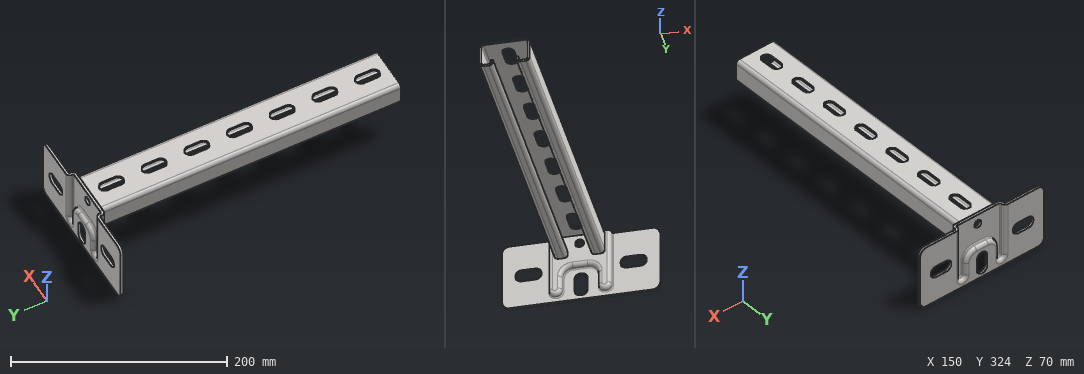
import cadquery as cq
import math

overall_length = 324.0

plate_width = 150.0
plate_height = 70.0
plate_corner_radius = 7.0
plate_thickness = 3.0
plate_bend_inner = 1.0
plate_bend_outer = plate_bend_inner + plate_thickness

seat_rise = 2 * plate_thickness
seat_front_y = -(plate_thickness + seat_rise)
seat_half_width = 29.8
leg_width = 12.5
leg_end_radius = leg_width / 2
leg_center_x = seat_half_width - leg_end_radius
leg_center_z = -58.5
notch_half_width = seat_half_width - leg_width
notch_top_z = -35.0
notch_corner_radius = 10.0

plate_slot_length = 25.0
plate_slot_width = 12.5
side_slot_x = 50.0
center_slot_z = -53.5
round_hole_diameter = 8.5
round_hole_z = -11.0

arm_length = overall_length + seat_front_y
arm_width = 48.0
arm_height = 26.0
arm_thickness = 2.0
arm_bend_outer = 2 * arm_thickness
arm_bend_inner = arm_bend_outer - arm_thickness
arm_gap = 22.0
lip_height = 6.0

arm_slot_count = 7
arm_slot_pitch = arm_length / arm_slot_count
arm_slot_length = 25.0
arm_slot_width = 11.0


def front_plane(y):
    """A plane facing -Y at the given Y, with local x along X and local y along Z."""
    return cq.Workplane("XZ", origin=(0, y, 0))


def seat_block(inset, depth):
    """The seat's shape, walls moved inward by the inset, extruded forward from the plate's back."""
    side = seat_half_width - inset
    notch_side = notch_half_width + inset
    notch_top = notch_top_z + inset
    corner = notch_corner_radius + inset
    leg_bottom = leg_center_z - leg_end_radius + inset
    corner_x = notch_side - corner
    corner_z = notch_top - corner
    corner_mid_x = corner_x + corner * math.sqrt(0.5)
    corner_mid_z = corner_z + corner * math.sqrt(0.5)
    return (
        front_plane(0)
        .moveTo(-side, 0)
        .lineTo(-side, leg_center_z)
        .threePointArc((-leg_center_x, leg_bottom), (-notch_side, leg_center_z))
        .lineTo(-notch_side, corner_z)
        .threePointArc((-corner_mid_x, corner_mid_z), (-corner_x, notch_top))
        .lineTo(corner_x, notch_top)
        .threePointArc((corner_mid_x, corner_mid_z), (notch_side, corner_z))
        .lineTo(notch_side, leg_center_z)
        .threePointArc((leg_center_x, leg_bottom), (side, leg_center_z))
        .lineTo(side, 0)
        .close()
        .extrude(depth)
    )


def round_seat_edges(body, y, radius):
    """Round the seat's outline at the given Y, leaving the open top edge sharp."""
    tolerance = 0.03
    low = (-seat_half_width - tolerance, y - tolerance, leg_center_z - leg_end_radius - tolerance)
    high = (seat_half_width + tolerance, y + tolerance, -tolerance)
    return body.edges(cq.selectors.BoxSelector(low, high)).fillet(radius)


def plate_holes():
    """Cutters for the two side slots, the upright center slot and the round hole."""
    start_y = plate_thickness
    cut_depth = seat_rise + 3 * plate_thickness
    side_places = [(side * side_slot_x, -plate_height / 2) for side in (-1, 1)]
    side_slots = front_plane(start_y).pushPoints(side_places).slot2D(plate_slot_length, plate_slot_width)
    center_slot = front_plane(start_y).center(0, center_slot_z).slot2D(plate_slot_length, plate_slot_width, 90)
    round_hole = front_plane(start_y).center(0, round_hole_z).circle(round_hole_diameter / 2)
    return [sketch.extrude(cut_depth) for sketch in (side_slots, center_slot, round_hole)]


def make_wall_plate():
    """Flat plate with the hollow seat pressed forward out of it."""
    plate = (
        front_plane(0)
        .center(0, -plate_height / 2)
        .rect(plate_width, plate_height)
        .extrude(plate_thickness)
        .edges("|Y")
        .fillet(plate_corner_radius)
    )
    plate = plate.union(seat_block(0, -seat_front_y))
    plate = round_seat_edges(plate, seat_front_y, plate_bend_outer)
    plate = round_seat_edges(plate, -plate_thickness, plate_bend_inner)

    plate = plate.cut(seat_block(plate_thickness, seat_rise))
    plate = round_seat_edges(plate, -seat_rise, plate_bend_inner)
    plate = round_seat_edges(plate, 0, plate_bend_outer)

    for cutter in plate_holes():
        plate = plate.cut(cutter)
    return plate


def round_bends(arm, corners, radius):
    """Round the lengthwise edges of the arm that pass through the given (x, z) corners."""
    middle_y = -overall_length + arm_length / 2
    for x, z in corners:
        arm = arm.edges(cq.selectors.NearestToPointSelector((x, middle_y, z))).fillet(radius)
    return arm


def arm_slots():
    """Cutters for the row of slots, spaced evenly with half a pitch at each end."""
    first_y = -overall_length + arm_slot_pitch / 2
    places = [(0, first_y + index * arm_slot_pitch) for index in range(arm_slot_count)]
    return (
        cq.Workplane("XY", origin=(0, 0, -2 * arm_thickness))
        .pushPoints(places)
        .slot2D(arm_slot_length, arm_slot_width, 90)
        .extrude(3 * arm_thickness)
    )


def make_arm():
    """C-channel, open downward with inturned lips, slotted along its top."""
    half_width = arm_width / 2
    half_gap = arm_gap / 2
    lip_tip_z = lip_height - arm_height
    outer = [
        (-half_gap, lip_tip_z),
        (-half_gap, -arm_height),
        (-half_width, -arm_height),
        (-half_width, 0),
        (half_width, 0),
        (half_width, -arm_height),
        (half_gap, -arm_height),
        (half_gap, lip_tip_z),
    ]
    inner = [
        (half_gap + arm_thickness, lip_tip_z),
        (half_gap + arm_thickness, arm_thickness - arm_height),
        (half_width - arm_thickness, arm_thickness - arm_height),
        (half_width - arm_thickness, -arm_thickness),
        (arm_thickness - half_width, -arm_thickness),
        (arm_thickness - half_width, arm_thickness - arm_height),
        (-half_gap - arm_thickness, arm_thickness - arm_height),
        (-half_gap - arm_thickness, lip_tip_z),
    ]
    arm = front_plane(seat_front_y).polyline(outer + inner).close().extrude(arm_length)
    arm = round_bends(arm, outer[1:-1], arm_bend_outer)
    arm = round_bends(arm, inner[1:-1], arm_bend_inner)
    return arm.cut(arm_slots())


wall_plate = make_wall_plate()
arm = make_arm()

result = cq.Compound.makeCompound([wall_plate.val(), arm.val()])